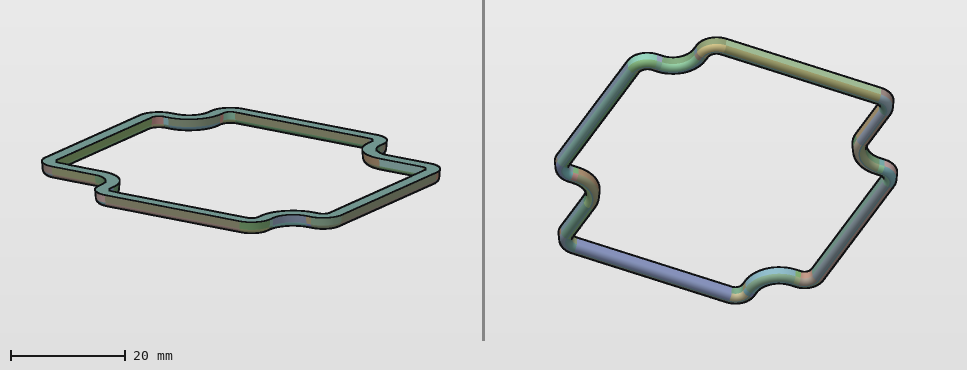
import math

import cadquery as cq

BODY_LENGTH = 61.8
OVERALL_WIDTH = 55.8
STEP_DEPTH = 9.0
TAB_LENGTH = 35.8
TAB_OFFSET = 4.0
BAND_WIDTH = 2.5
THICKNESS = 2.35
CORNER_RADIUS = 3.9
STEP_RADIUS = 4.1
DRAFT_ANGLE = 5.0
BOTTOM_FILLET = 1.0

HALF_LENGTH = BODY_LENGTH / 2
HALF_WIDTH = OVERALL_WIDTH / 2
SHOULDER_Y = HALF_WIDTH - STEP_DEPTH
TAB_LEFT = -TAB_OFFSET - TAB_LENGTH / 2
TAB_RIGHT = -TAB_OFFSET + TAB_LENGTH / 2
DRAFT_INSET = THICKNESS * math.tan(math.radians(DRAFT_ANGLE))


def with_half_turn(points):
    """The points followed by their copies turned 180 degrees about Z."""
    return points + [(-x, -y) for x, y in points]


def round_corners(face, corners, z, radius):
    """Round the corners of a flat face that lie at the given points."""
    vertices = [
        min(face.Vertices(), key=lambda vertex: math.dist(vertex.toTuple(), (x, y, z)))
        for x, y in corners
    ]
    return face.fillet2D(radius, vertices)


def stepped_outline(inset, z):
    """Rounded stepped outline at height z, moved inwards by inset."""
    half_length = HALF_LENGTH - inset
    shoulder_y = SHOULDER_Y - inset
    tab_y = HALF_WIDTH - inset
    tab_left = TAB_LEFT + inset
    tab_right = TAB_RIGHT - inset

    left_end = (-half_length, shoulder_y)
    left_step = (tab_left, shoulder_y)
    tab_corners = [(tab_left, tab_y), (tab_right, tab_y)]
    right_step = (tab_right, shoulder_y)
    right_end = (half_length, shoulder_y)

    outline = with_half_turn([left_end, left_step, *tab_corners, right_step, right_end])
    wire = cq.Wire.makePolygon([cq.Vector(x, y, z) for x, y in outline], close=True)
    face = cq.Face.makeFromWires(wire)

    convex_corners = with_half_turn([left_end, *tab_corners, right_end])
    concave_corners = with_half_turn([left_step, right_step])
    face = round_corners(face, convex_corners, z, CORNER_RADIUS - inset)
    face = round_corners(face, concave_corners, z, STEP_RADIUS + inset)
    return face.outerWire()


def drafted_block(top_inset, bottom_inset):
    """Solid plate whose walls run straight from one inset to the other."""
    bottom = stepped_outline(bottom_inset, 0)
    top = stepped_outline(top_inset, THICKNESS)
    return cq.Workplane("XY").add(cq.Solid.makeLoft([bottom, top], ruled=True))


def gasket():
    """Closed band with drafted walls, rounded along both lower edges."""
    outer = drafted_block(0, DRAFT_INSET)
    opening = drafted_block(BAND_WIDTH, BAND_WIDTH - DRAFT_INSET)
    band = outer.cut(opening)
    return band.faces("<Z").edges().fillet(BOTTOM_FILLET)


result = gasket()